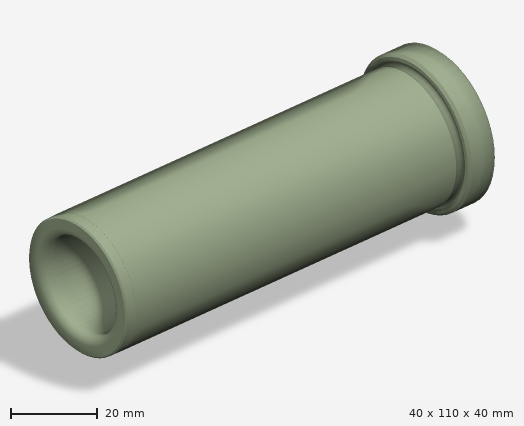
import cadquery as cq


length = 110.0
bore_diameter = 25.0
bore_mouth_radius = 2.0

head_diameter = 40.0
head_thickness = 8.0
head_outer_chamfer = 0.5
head_inner_chamfer = 0.7

shank_diameter = 35.0
lead_diameter = 34.9
lead_length = 3.0
tip_chamfer = 0.4

groove_diameter = 34.2
groove_width = 2.0
groove_runout_length = 0.5

undercut_diameter = 36.6
undercut_depth = 0.4
undercut_runout_length = 0.6
undercut_corner_radius = 0.4

head_radius = head_diameter / 2
shank_radius = shank_diameter / 2
lead_radius = lead_diameter / 2
groove_radius = groove_diameter / 2
undercut_radius = undercut_diameter / 2
bore_radius = bore_diameter / 2

head_underside = -head_thickness
groove_end = head_underside - groove_width
tip = -length
lead_start = tip + lead_length
undercut_floor = head_underside + undercut_depth


def revolve_section(section):
    """Revolve a closed half section, given as (radius, axial position), about Y."""
    return section.close().revolve(360, (0, 0, 0), (0, 1, 0))


def cylinder(radius, start, end):
    """Solid cylinder on the Y axis between two axial positions."""
    section = (
        cq.Workplane("XY")
        .moveTo(0, start)
        .lineTo(radius, start)
        .lineTo(radius, end)
        .lineTo(0, end)
    )
    return revolve_section(section)


def make_head():
    head = cylinder(head_radius, 0, head_underside)
    head = head.faces(">Y").edges().chamfer(head_outer_chamfer)
    return head.faces("<Y").edges().chamfer(head_inner_chamfer)


def make_shank():
    """Full-diameter shank ending in a slightly reduced, chamfered lead."""
    shank = cylinder(shank_radius, head_underside, lead_start)
    lead = cylinder(lead_radius, lead_start, tip)
    lead = lead.faces("<Y").edges().chamfer(tip_chamfer)
    return shank.union(lead)


def make_relief_cutter():
    """Ring that relieves the corner between the shank and the head's underside."""
    section = (
        cq.Workplane("XY")
        .moveTo(undercut_radius, head_underside)
        .lineTo(undercut_radius - undercut_runout_length, undercut_floor)
        .lineTo(groove_radius + undercut_corner_radius, undercut_floor)
        .radiusArc(
            (groove_radius, undercut_floor - undercut_corner_radius),
            -undercut_corner_radius,
        )
        .lineTo(groove_radius, groove_end + groove_runout_length)
        .lineTo(shank_radius, groove_end)
        .lineTo(shank_radius, head_underside)
    )
    return revolve_section(section)


def cut_bore(body):
    """Through bore, rounded at the tip end of the shank."""
    bored = body.cut(cylinder(bore_radius, 0, tip))
    mouth_edge = bored.faces("<Y").edges(cq.selectors.RadiusNthSelector(0))
    return mouth_edge.fillet(bore_mouth_radius)


body = make_head().union(make_shank()).cut(make_relief_cutter())
result = cut_bore(body).solids()